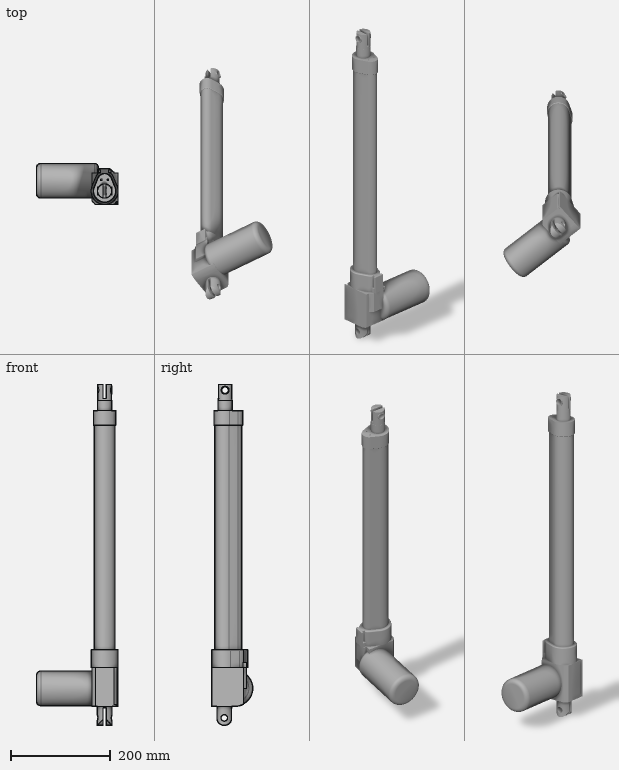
import cadquery as cq
import math

overall_height = 682.23
overall_length_x = 163.51

housing_half_width = 25.4
housing_front_y = -27.0
housing_depth = 63.5
housing_bottom_z = 38.1
housing_top_z = 116.0
housing_chamfer = 7.0
housing_back_y = housing_front_y + housing_depth
cover_inner_x = 24.4
cover_outer_x = 27.0
corner_foot_height = 4.0
corner_foot_end_x = 23.0

motor_diameter = 69.85
motor_radius = motor_diameter / 2
motor_setback = 12.7
motor_fillet = 9.0
motor_end_x = cover_outer_x - overall_length_x
motor_y = housing_front_y + motor_setback + motor_radius
motor_clearance = 1.2
housing_corner_radius = motor_radius + motor_clearance
motor_z = housing_bottom_z + housing_corner_radius

gear_end_x = -12.5
gear_end_fillet = 8.0

strip_back_y = 43.2
strip_start_x = -14.0
strip_shoulder_x = 12.0
strip_end_x = 20.0

clevis_diameter = 30.16
clevis_y = housing_front_y + housing_half_width
clevis_hole = 12.7
clevis_slot_width = 6.35
clevis_slot_top_z = 35.0

nose_y = 20.6
tube_radius = 21.0
tube_nose_radius = 13.0
cap_radius = 22.7
cap_nose_radius = 14.9
collar_radius = 27.0
collar_nose_radius = 18.5
collar_nose_y = 22.0

collar_top_z = 152.4
collar_edge_fillet = 2.0
cap_bottom_z = overall_height - 82.6
cap_top_z = overall_height - 52.4
cap_edge_chamfer = 1.0
screw_hole_diameter = 3.25
screw_hole_depth = 8.0
screw_hole_x = 6.6
screw_hole_y = 22.6

tab_half_width = 10.8
tab_foot_half_width = 12.5
tab_neck_half_width = 8.0
tab_back_y = 45.3
tab_plate_thickness = 3.5
tab_groove_width = 4.5
tab_foot_top_z = 126.0

rod_diameter = 28.57
tip_diameter = 28.07
tip_length = 31.8
bushing_outer = 15.88
bushing_bore = 12.7
bushing_drop = 11.5
tip_slot_width = 6.35
tip_slot_depth = 27.7


def block(x_min, x_max, y_min, y_max, z_min, z_max):
    """Axis-aligned box given by its limits."""
    size = (x_max - x_min, y_max - y_min, z_max - z_min)
    return cq.Workplane("XY").box(*size, centered=False).translate((x_min, y_min, z_min))


def rod_along_x(diameter, x_min, x_max, y, z):
    """Cylinder parallel to X."""
    plane = cq.Workplane("YZ", origin=(x_min, y, z))
    return plane.circle(diameter / 2).extrude(x_max - x_min)


def rod_along_z(diameter, z_min, z_max, x=0.0, y=0.0):
    """Cylinder parallel to Z."""
    return cq.Workplane("XY", origin=(x, y, z_min)).circle(diameter / 2).extrude(z_max - z_min)


def teardrop(radius, nose_radius, nose_center_y, z_min, z_max):
    """Prism with a large round on the axis and a tangent nose towards +Y."""
    sine = (radius - nose_radius) / nose_center_y
    cosine = math.sqrt(1 - sine**2)
    main_x, main_y = radius * cosine, radius * sine
    tip_x, tip_y = nose_radius * cosine, nose_center_y + nose_radius * sine
    return (
        cq.Workplane("XY", origin=(0, 0, z_min))
        .moveTo(main_x, main_y)
        .lineTo(tip_x, tip_y)
        .threePointArc((0, nose_center_y + nose_radius), (-tip_x, tip_y))
        .lineTo(-main_x, main_y)
        .threePointArc((0, -radius), (main_x, main_y))
        .close()
        .extrude(z_max - z_min)
    )


def housing_prism(x_min, x_max):
    """Slice of the housing, its lower back corner rounded about the motor axis."""
    corner_angle = math.asin((housing_back_y - motor_y) / housing_corner_radius)

    def corner_point(angle):
        return (
            motor_y + housing_corner_radius * math.sin(angle),
            motor_z - housing_corner_radius * math.cos(angle),
        )

    return (
        cq.Workplane("YZ", origin=(x_min, 0, 0))
        .moveTo(housing_front_y, housing_bottom_z)
        .lineTo(motor_y, housing_bottom_z)
        .threePointArc(corner_point(corner_angle / 2), corner_point(corner_angle))
        .lineTo(housing_back_y, housing_top_z)
        .lineTo(housing_front_y, housing_top_z)
        .close()
        .extrude(x_max - x_min)
    )


def make_housing():
    """Housing with chamfered front corners, a cover plate on +X and a small foot in one chamfer."""
    body = housing_prism(-housing_half_width, housing_half_width)
    body = body.edges("|Z and <Y").chamfer(housing_chamfer)
    cover = housing_prism(cover_inner_x, cover_outer_x)
    foot = block(
        housing_half_width - housing_chamfer,
        corner_foot_end_x,
        housing_front_y,
        housing_front_y + housing_chamfer,
        housing_bottom_z,
        housing_bottom_z + corner_foot_height,
    )
    return body.union(cover).union(foot)


def make_strip():
    """Upright strip behind the housing with a sloping +X end."""
    return (
        cq.Workplane("XY", origin=(0, 0, motor_z))
        .moveTo(strip_start_x, motor_y)
        .lineTo(strip_end_x, motor_y)
        .lineTo(strip_end_x, housing_back_y)
        .lineTo(strip_shoulder_x, strip_back_y)
        .lineTo(strip_start_x, strip_back_y)
        .close()
        .extrude(housing_top_z - motor_z)
    )


def make_motor():
    """Motor can with rounded ends."""
    can = rod_along_x(motor_diameter, motor_end_x, gear_end_x, motor_y, motor_z)
    return can.edges("<X").fillet(motor_fillet).edges(">X").fillet(gear_end_fillet)


def make_collar():
    """Lower collar with a rounded top edge and a grooved tab on its back."""
    collar = teardrop(collar_radius, collar_nose_radius, collar_nose_y, housing_top_z, collar_top_z)
    tab = block(-tab_half_width, tab_half_width, collar_nose_y, tab_back_y, housing_top_z, collar_top_z)
    foot = block(
        -tab_foot_half_width, tab_foot_half_width, collar_nose_y, strip_back_y, housing_top_z, tab_foot_top_z
    )
    collar = collar.union(tab).faces(">Z").edges().fillet(collar_edge_fillet)
    collar = collar.union(foot)
    groove_back_y = tab_back_y - tab_plate_thickness
    groove_front_y = groove_back_y - tab_groove_width
    groove_depth = tab_foot_half_width - tab_neck_half_width
    groove = block(0, groove_depth, groove_front_y, groove_back_y, tab_foot_top_z, collar_top_z)
    for groove_x in (-tab_foot_half_width, tab_neck_half_width):
        collar = collar.cut(groove.translate((groove_x, 0, 0)))
    return collar


def make_end_cap():
    """Teardrop cap at the top of the tube with two screw holes and a chamfered bottom edge."""
    cap = teardrop(cap_radius, cap_nose_radius, nose_y, cap_bottom_z, cap_top_z)
    cap = cap.faces("<Z").edges().chamfer(cap_edge_chamfer)
    for hole_x in (-screw_hole_x, screw_hole_x):
        hole_bottom_z = cap_top_z - screw_hole_depth
        cap = cap.cut(rod_along_z(screw_hole_diameter, hole_bottom_z, cap_top_z, hole_x, screw_hole_y))
    return cap


def make_clevis():
    """Rear clevis: slotted round bar with a rounded end and a cross hole."""
    radius = clevis_diameter / 2
    bar = rod_along_z(clevis_diameter, 0, housing_bottom_z, y=clevis_y)
    round_end = rod_along_x(clevis_diameter, -radius, radius, clevis_y, radius)
    upper = block(-radius, radius, clevis_y - radius, clevis_y + radius, radius, housing_bottom_z)
    bar = bar.intersect(round_end.union(upper))
    bar = bar.cut(rod_along_x(clevis_hole, -radius, radius, clevis_y, radius))
    half_slot = clevis_slot_width / 2
    return bar.cut(block(-half_slot, half_slot, clevis_y - radius, clevis_y + radius, 0, clevis_slot_top_z))


def make_rod():
    """Rod with a slightly thinner slotted tip that carries a cross bushing."""
    radius = rod_diameter / 2
    tip_bottom_z = overall_height - tip_length
    bushing_z = overall_height - bushing_drop
    rod = rod_along_z(rod_diameter, cap_top_z, tip_bottom_z)
    rod = rod.union(rod_along_z(tip_diameter, tip_bottom_z, overall_height))
    rod = rod.union(rod_along_x(bushing_outer, -radius, radius, 0, bushing_z))
    rod = rod.cut(rod_along_x(bushing_bore, -radius, radius, 0, bushing_z))
    half_slot = tip_slot_width / 2
    slot_bottom_z = overall_height - tip_slot_depth
    return rod.cut(block(-half_slot, half_slot, -radius, radius, slot_bottom_z, overall_height))


tube = teardrop(tube_radius, tube_nose_radius, nose_y, collar_top_z, cap_bottom_z)
result = make_housing()
for component in (
    make_strip(),
    make_motor(),
    make_collar(),
    tube,
    make_end_cap(),
    make_rod(),
    make_clevis(),
):
    result = result.union(component)